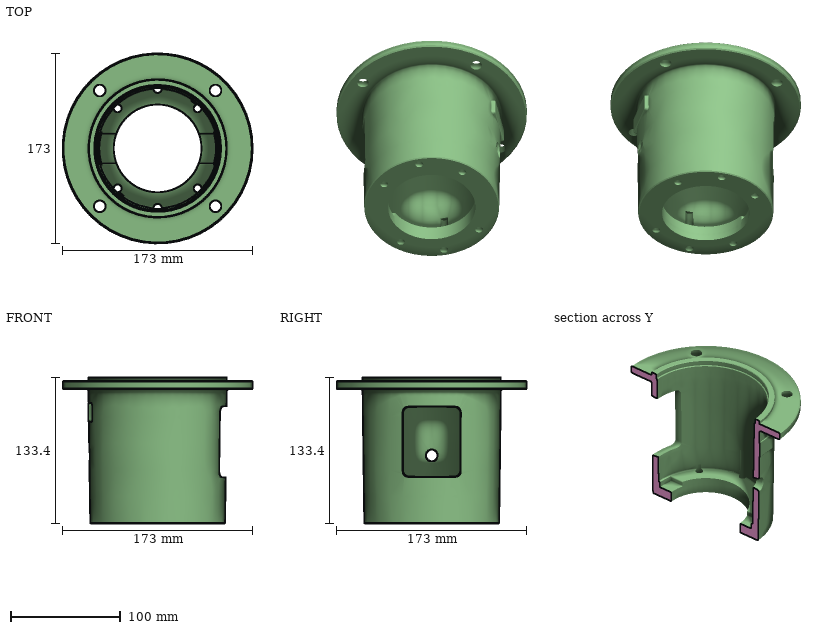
import cadquery as cq
import math

total_height = 133.4
flange_radius = 86.5
flange_thickness = 8.0
flange_chamfer = 1.0
spigot_height = 3.3
spigot_radius = 63.0
spigot_chamfer = 0.7
flange_top = total_height - spigot_height
flange_bottom = flange_top - flange_thickness

barrel_top_radius = spigot_radius
barrel_bottom_radius = 61.4
barrel_chamfer = 0.9
neck_fillet = 1.2

floor_thickness = 15.5
cavity_top_radius = 56.2
cavity_bottom_radius = 54.3
cavity_fillet = 1.4
seat_radius = 57.3
seat_depth = 5.0
seat_chamfer = 0.5

pump_bore_radius = 39.8
channel_width = 27.0
channel_depth = 5.2
channel_fillet = 1.2

flange_hole_radius = 5.2
flange_hole_offset = 52.5
pump_hole_radius = 3.5
pump_hole_offset = 36.3
pump_hole_depth = 20.8
relief_hole_radius = 3.6
relief_hole_offset = 54.1
relief_hole_depth = 43.2

window_bottom = 42.0
window_top = 106.9
window_width = 54.3
window_corner_radius = 6.0
window_depth = 20.8
window_draft = 5.0

plate_width = 37.9
plate_height = 15.9
plate_depth = 4.3
plate_draft = 15.0
plate_center_height = 101.2
plate_face = 63.1
plate_corner_radius = 3.1
plate_edge_fillet = 0.9
cross_hole_inner_radius = 5.0
cross_hole_outer_radius = 5.9
cross_hole_mouth_radius = 7.5
cross_hole_inner_end = 53.6
cross_hole_height = 62.1


def barrel_radius_at(height):
    """Outer barrel radius at a height above the bottom face."""
    slope = (barrel_top_radius - barrel_bottom_radius) / flange_bottom
    return barrel_bottom_radius + slope * height


def make_outer_body():
    """Barrel, flange and spigot revolved as one solid."""
    fillet_start = flange_bottom - neck_fillet
    fillet_middle = neck_fillet * (1 - math.sqrt(0.5))
    profile = (
        cq.Workplane("XZ")
        .moveTo(0, 0)
        .lineTo(barrel_bottom_radius - barrel_chamfer, 0)
        .lineTo(barrel_radius_at(barrel_chamfer), barrel_chamfer)
        .lineTo(barrel_top_radius, fillet_start)
        .threePointArc(
            (barrel_top_radius + fillet_middle, flange_bottom - fillet_middle),
            (barrel_top_radius + neck_fillet, flange_bottom),
        )
        .lineTo(flange_radius - flange_chamfer, flange_bottom)
        .lineTo(flange_radius, flange_bottom + flange_chamfer)
        .lineTo(flange_radius, flange_top - flange_chamfer)
        .lineTo(flange_radius - flange_chamfer, flange_top)
        .lineTo(spigot_radius, flange_top)
        .lineTo(spigot_radius, total_height - spigot_chamfer)
        .lineTo(spigot_radius - spigot_chamfer, total_height)
        .lineTo(0, total_height)
        .close()
    )
    return profile.revolve(360, (0, 0, 0), (0, 1, 0))


def make_cavity():
    """Tapered inside of the barrel, with a rounded lower edge and the wider seat on top."""
    seat_floor = total_height - seat_depth
    cavity = (
        cq.Workplane("XZ")
        .moveTo(0, floor_thickness)
        .lineTo(cavity_bottom_radius, floor_thickness)
        .lineTo(cavity_top_radius, seat_floor - seat_chamfer)
        .lineTo(cavity_top_radius + seat_chamfer, seat_floor)
        .lineTo(seat_radius, seat_floor)
        .lineTo(seat_radius, total_height - seat_chamfer)
        .lineTo(seat_radius + seat_chamfer, total_height)
        .lineTo(0, total_height)
        .close()
        .revolve(360, (0, 0, 0), (0, 1, 0))
    )
    return cavity.faces("<Z").edges().fillet(cavity_fillet)


def make_channel():
    """Channel across the floor along X, ending at the cavity wall, with rounded rims and corners."""
    channel_floor = floor_thickness - channel_depth
    half_width = channel_width / 2
    channel = (
        cq.Workplane("YZ")
        .moveTo(channel_fillet - half_width, channel_floor)
        .lineTo(half_width - channel_fillet, channel_floor)
        .radiusArc((half_width, channel_floor + channel_fillet), -channel_fillet)
        .lineTo(half_width, floor_thickness - channel_fillet)
        .radiusArc((half_width + channel_fillet, floor_thickness), channel_fillet)
        .lineTo(-half_width - channel_fillet, floor_thickness)
        .radiusArc((-half_width, floor_thickness - channel_fillet), channel_fillet)
        .lineTo(-half_width, channel_floor + channel_fillet)
        .radiusArc((channel_fillet - half_width, channel_floor), -channel_fillet)
        .close()
        .extrude(cavity_bottom_radius, both=True)
    )
    envelope = cq.Workplane("XY").circle(cavity_bottom_radius - cavity_fillet).extrude(floor_thickness)
    return channel.intersect(envelope)


def make_vertical_holes(points, radius, bottom, top):
    """Round vertical cutters at the given points."""
    base = cq.Workplane("XY").workplane(offset=bottom)
    return base.pushPoints(points).circle(radius).extrude(top - bottom)


def corner_points(offset):
    """The four corners of a square centred on the axis."""
    return [(x, y) for x in (-offset, offset) for y in (-offset, offset)]


def rounded_rectangle(width, height, corner_radius):
    """Rectangle with rounded corners, centred on its plane's origin."""
    return cq.Sketch().rect(width, height).vertices().fillet(corner_radius)


def make_window():
    """Rounded rectangular opening through the +X wall, narrowing inward."""
    outline = rounded_rectangle(window_width, window_top - window_bottom, window_corner_radius)
    center_height = (window_bottom + window_top) / 2
    mouth_plane = cq.Plane((barrel_top_radius, 0, center_height), (0, -1, 0), (-1, 0, 0))
    return cq.Workplane(mouth_plane).placeSketch(outline).extrude(window_depth, taper=window_draft)


def make_plate():
    """Flat raised name plate on the -X side, with drafted sides rooted inside the barrel wall."""
    spread = 2 * plate_depth * math.tan(math.radians(plate_draft))
    outline = rounded_rectangle(plate_width + spread, plate_height + spread, plate_corner_radius)
    root_plane = cq.Plane((plate_depth - plate_face, 0, plate_center_height), (0, -1, 0), (-1, 0, 0))
    plate = cq.Workplane(root_plane).placeSketch(outline).extrude(plate_depth, taper=plate_draft)
    return plate.faces("<X").edges().fillet(plate_edge_fillet)


def make_cross_hole():
    """Radial tapered hole through the -X wall with a countersunk mouth."""
    countersink_depth = cross_hole_mouth_radius - cross_hole_outer_radius
    mouth = barrel_radius_at(cross_hole_height)
    return (
        cq.Workplane("XY", origin=(0, 0, cross_hole_height))
        .moveTo(-cross_hole_inner_end, 0)
        .lineTo(-cross_hole_inner_end, cross_hole_inner_radius)
        .lineTo(countersink_depth - mouth, cross_hole_outer_radius)
        .lineTo(-mouth, cross_hole_mouth_radius)
        .lineTo(-flange_radius, cross_hole_mouth_radius)
        .lineTo(-flange_radius, 0)
        .close()
        .revolve(360, (0, 0, 0), (1, 0, 0))
    )


relief_points = [(0, -relief_hole_offset), (0, relief_hole_offset)]

result = (
    make_outer_body()
    .union(make_plate())
    .cut(make_cavity())
    .cut(make_channel())
    .cut(make_vertical_holes([(0, 0)], pump_bore_radius, 0, floor_thickness))
    .cut(make_vertical_holes(corner_points(flange_hole_offset), flange_hole_radius, flange_bottom, flange_top))
    .cut(make_vertical_holes(corner_points(pump_hole_offset), pump_hole_radius, 0, pump_hole_depth))
    .cut(make_vertical_holes(relief_points, relief_hole_radius, 0, relief_hole_depth))
    .cut(make_window())
    .cut(make_cross_hole())
)